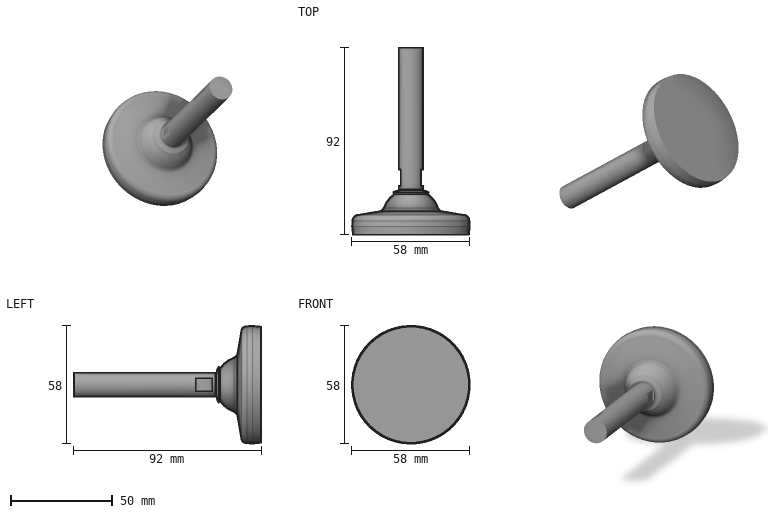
import cadquery as cq
import math


foot_radius = 29.0
foot_base_radius = 28.5
foot_widest_y = 4.2
rim_top_y = 7.0
rim_top_radius = 28.8
shoulder_y = 9.8
shoulder_radius = 25.8
rim_round_bulge = 0.8
dome_fillet_bottom_y = 11.7
dome_fillet_bottom_radius = 14.9
dome_bottom_y = 13.4
dome_bottom_radius = 13.25
dome_fillet_sag = 0.23
dome_top_y = 20.1
dome_top_radius = 8.1
dome_bulge = 0.69

stem_radius = 12 / 2
stem_end_y = 92.0
collar_edge_y = 20.9
collar_edge_radius = 8.7
collar_top_y = 22.0
collar_bulge = 0.2
stem_chamfer = 0.5
neck_radius = stem_radius - stem_chamfer
flat_start_y = 24.0
flat_length = 8.0
flat_distance = 5.1


def bulged_midpoint(start, end, bulge):
    """Middle point of an arc, offset from its chord to the right of the direction of travel."""
    run = end[0] - start[0]
    rise = end[1] - start[1]
    chord = math.hypot(run, rise)
    middle_radius = (start[0] + end[0]) / 2
    middle_y = (start[1] + end[1]) / 2
    return (middle_radius + bulge * rise / chord, middle_y - bulge * run / chord)


def revolve_about_y(profile):
    """Turn a closed (radius, y) profile around the Y axis."""
    return profile.close().revolve(360, (0, 0, 0), (0, 1, 0))


def make_foot():
    """Round foot with a slightly barrelled rim, a sloping top and a domed hub."""
    rim_top = (rim_top_radius, rim_top_y)
    shoulder = (shoulder_radius, shoulder_y)
    fillet_bottom = (dome_fillet_bottom_radius, dome_fillet_bottom_y)
    dome_bottom = (dome_bottom_radius, dome_bottom_y)
    dome_top = (dome_top_radius, dome_top_y)
    profile = (
        cq.Workplane("XY")
        .lineTo(foot_base_radius, 0)
        .lineTo(foot_radius, foot_widest_y)
        .lineTo(*rim_top)
        .threePointArc(bulged_midpoint(rim_top, shoulder, rim_round_bulge), shoulder)
        .lineTo(*fillet_bottom)
        .threePointArc(bulged_midpoint(fillet_bottom, dome_bottom, -dome_fillet_sag), dome_bottom)
        .threePointArc(bulged_midpoint(dome_bottom, dome_top, dome_bulge), dome_top)
        .lineTo(0, dome_top_y)
    )
    return revolve_about_y(profile)


def make_wrench_flat_cutter(side):
    """Block that removes the stem beyond one wrench flat; side is -1 or +1 along X."""
    depth = stem_radius
    return cq.Workplane("XY").box(depth, flat_length, 2 * stem_radius).translate(
        (side * (flat_distance + depth / 2), flat_start_y + flat_length / 2, 0)
    )


def make_stem():
    """Plain stem on a collar that rests on the dome, with two opposite wrench flats."""
    collar_edge = (collar_edge_radius, collar_edge_y)
    collar_top = (neck_radius, collar_top_y)
    profile = (
        cq.Workplane("XY")
        .moveTo(0, dome_top_y)
        .lineTo(dome_top_radius, dome_top_y)
        .lineTo(*collar_edge)
        .threePointArc(bulged_midpoint(collar_edge, collar_top, collar_bulge), collar_top)
        .lineTo(stem_radius, collar_top_y + stem_chamfer)
        .lineTo(stem_radius, stem_end_y)
        .lineTo(0, stem_end_y)
    )
    stem = revolve_about_y(profile)
    for side in (-1, 1):
        stem = stem.cut(make_wrench_flat_cutter(side))
    return stem


foot = make_foot()
stem = make_stem()
result = cq.Compound.makeCompound([foot.val(), stem.val()])